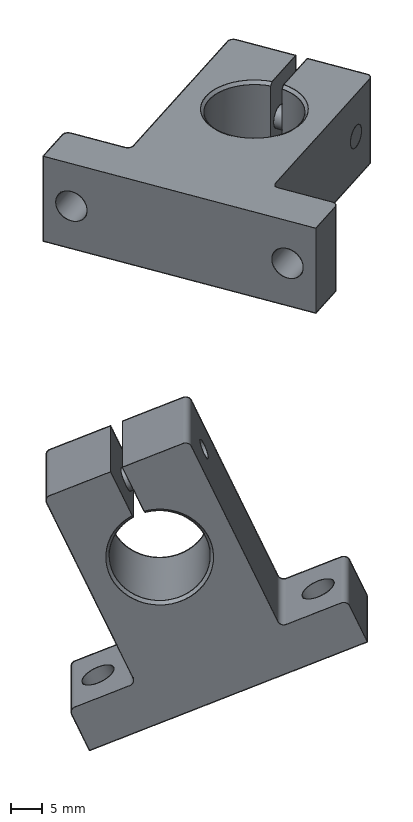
import cadquery as cq

foot_width = 48.0
total_height = 44.0
thickness = 16.0
foot_height = 8.0
stem_width = 25.0
corner_radius = 1.0

bore_diameter = 16.0
bore_y = 27.0
bore_chamfer = 0.55

slot_width = 2.0

mount_hole_diameter = 5.5
mount_hole_spacing = 38.0

screw_diameter = 4.0
screw_from_top = 6.0
tip_depth = 1.0
tip_hole_diameter = 3.25

screw_y = total_height - screw_from_top
mid_z = thickness / 2
stem_left_x = -stem_width / 2
stem_right_x = stem_width / 2
screw_tip_x = stem_left_x + tip_depth


def make_x_cylinder(diameter, start_x, end_x):
    """Cylinder along X on the clamp screw axis."""
    return (
        cq.Workplane("YZ", origin=(start_x, screw_y, mid_z))
        .circle(diameter / 2)
        .extrude(end_x - start_x)
    )


def make_tee_block():
    """Foot and stem in one piece, with all corners rounded except the two at the foot's base."""
    foot = cq.Workplane("XY").box(foot_width, foot_height, thickness, centered=(True, False, False))
    stem = cq.Workplane("XY").box(stem_width, total_height, thickness, centered=(True, False, False))
    tee = foot.union(stem)
    above_foot_base = cq.selectors.BoxSelector(
        (-foot_width, foot_height / 2, 0),
        (foot_width, 2 * total_height, thickness),
    )
    return tee.edges("|Z").edges(above_foot_base).fillet(corner_radius)


def make_bore():
    """Cutter for the shaft bore, widened by a chamfer at both ends."""
    radius = bore_diameter / 2
    profile = [
        (0, 0),
        (radius + bore_chamfer, 0),
        (radius, bore_chamfer),
        (radius, thickness - bore_chamfer),
        (radius + bore_chamfer, thickness),
        (0, thickness),
    ]
    return (
        cq.Workplane("XZ")
        .polyline(profile)
        .close()
        .revolve(360, (0, 0, 0), (0, 1, 0))
        .translate((0, bore_y, 0))
    )


def make_slot():
    """Cutter for the slot from the bore axis out through the top of the jaws."""
    slot_length = total_height - bore_y
    return (
        cq.Workplane("XY", origin=(0, bore_y + slot_length / 2, 0))
        .rect(slot_width, slot_length)
        .extrude(thickness)
    )


def make_mount_holes():
    """Cutters for the two mounting holes, along Y through the foot."""
    return (
        cq.Workplane("XZ", origin=(0, 0, mid_z))
        .pushPoints([(-mount_hole_spacing / 2, 0), (mount_hole_spacing / 2, 0)])
        .circle(mount_hole_diameter / 2)
        .extrude(-foot_height)
    )


def make_clamp_screw():
    """Plain screw shank from its recessed tip to the far side of the stem."""
    return make_x_cylinder(screw_diameter, screw_tip_x, stem_right_x)


def make_support():
    """Shaft support block with its bore, slot, mounting holes and screw hole."""
    return (
        make_tee_block()
        .cut(make_bore())
        .cut(make_slot())
        .cut(make_mount_holes())
        .cut(make_x_cylinder(tip_hole_diameter, stem_left_x, screw_tip_x))
        .cut(make_clamp_screw())
    )


support = make_support()
clamp_screw = make_clamp_screw()

result = cq.Compound.makeCompound([support.val(), clamp_screw.val()])